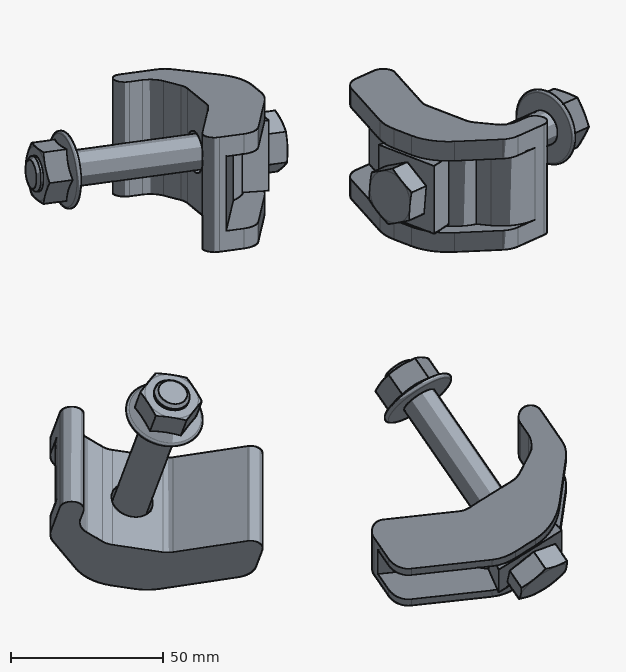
import cadquery as cq
import math


CLAMP_HEIGHT = 40.0
LEFT_FACE = -28.0
RIGHT_FACE = 42.0
BACK_FACE = 21.0
LEG_TIP = -19.2
LEG_THICKNESS = 8.05
SEAT_LEFT = -8.7
SEAT_RIGHT = 12.0
BACK_LEFT = -10.2
BACK_RIGHT = 10.1
INNER_LEFT_SLOPE = math.tan(math.radians(30))
OUTER_LEFT_SLOPE = math.tan(math.radians(49))
RIGHT_SLOPE = math.tan(math.radians(26.7))
TIP_RADIUS = LEG_THICKNESS / 2
INNER_RADIUS = 7.0
BACK_RADIUS = 17.9
SHOULDER_RADIUS = 7.9

RIB_THICKNESS = 7.0
CHANNEL_WIDTH = CLAMP_HEIGHT - 2 * RIB_THICKNESS
HUMP_RADIUS = 17.5
HUMP_TOP = 16.0
HUMP_CENTRE = HUMP_TOP - HUMP_RADIUS
CUT_MARGIN = 8.75

BLOCK_BACK = 21.2
BLOCK_WIDTH = 24.85
BLOCK_HEIGHT = 24.5
BLOCK_TAPER = math.tan(math.radians(10.5))
CLEARANCE_HOLE = 14.0

BOLT_DIAMETER = 12.0
BOLT_BACK = 29.2
BOLT_LENGTH = 87.5
BOLT_END = BOLT_BACK - BOLT_LENGTH
HEAD_THICKNESS = 7.4
HEX_ACROSS_FLATS = 18.0
HEX_ACROSS_CORNERS = HEX_ACROSS_FLATS / math.cos(math.pi / 6)
HEAD_TURN = 95.4
BOLT_CHAMFER = 1.1

NUT_BACK = -45.4
NUT_FRONT = -56.3
FLANGE_DIAMETER = 26.0
FLANGE_EDGE = 1.6
FLANGE_THICKNESS = 2.8
CORNER_CHAMFER_ANGLE = 15

SMALLEST_LENGTH = 0.001


def rounded_outline(corners):
    """Closed XY outline from (x, y, radius) corners; radius 0 keeps a corner sharp."""
    points = [cq.Vector(x, y) for x, y, _ in corners]
    stops = []
    for i, (_, _, radius) in enumerate(corners):
        corner = points[i]
        to_previous = (points[i - 1] - corner).normalized()
        to_next = (points[(i + 1) % len(points)] - corner).normalized()
        half_angle = to_previous.getAngle(to_next) / 2
        setback = radius / math.tan(half_angle)
        bisector = (to_previous + to_next).normalized()
        arc_middle = corner + bisector * (radius / math.sin(half_angle) - radius)
        stops.append((corner + to_previous * setback, arc_middle, corner + to_next * setback, radius))
    position = stops[-1][2]
    outline = cq.Workplane("XY").moveTo(position.x, position.y)
    for start, middle, end, radius in stops:
        if (start - position).Length > SMALLEST_LENGTH:
            outline = outline.lineTo(start.x, start.y)
        if radius > 0:
            outline = outline.threePointArc((middle.x, middle.y), (end.x, end.y))
        position = end
    return outline.close()


def extrude_centred(outline, height):
    return outline.extrude(height).translate((0, 0, -height / 2))


def rod(diameter, y_back, y_front):
    """Cylinder on the bolt axis from y_back down to y_front."""
    return cq.Workplane("XZ", origin=(0, y_back, 0)).circle(diameter / 2).extrude(y_back - y_front)


def hex_prism(y_back, y_front, corner_angle):
    """Hexagon on the bolt axis with one corner at corner_angle from +X."""
    hexagon = cq.Workplane("XZ", origin=(0, y_back, 0)).polygon(6, HEX_ACROSS_CORNERS)
    return hexagon.extrude(y_back - y_front).rotate((0, 0, 0), (0, 1, 0), -corner_angle)


def corner_chamfer(y_end, direction):
    """Cone that trims the hexagon corners at y_end; direction points from y_end into the prism."""
    flat_radius = HEX_ACROSS_FLATS / 2
    reach = HEX_ACROSS_CORNERS
    y_far = y_end + direction * reach
    wide_radius = flat_radius + reach / math.tan(math.radians(CORNER_CHAMFER_ANGLE))
    profile = [(0, y_end), (flat_radius, y_end), (wide_radius, y_far), (0, y_far)]
    return cq.Workplane("XY").polyline(profile).close().revolve(360, (0, 0, 0), (0, 1, 0))


def hump():
    cylinder = cq.Workplane("XY").center(0, HUMP_CENTRE).circle(HUMP_RADIUS)
    return extrude_centred(cylinder, CLAMP_HEIGHT)


def clamp_blank():
    leg_inside = LEFT_FACE + LEG_THICKNESS
    corners = [
        (LEFT_FACE, LEG_TIP, TIP_RADIUS),
        (LEFT_FACE, BACK_FACE - (BACK_LEFT - LEFT_FACE) * OUTER_LEFT_SLOPE, SHOULDER_RADIUS),
        (BACK_LEFT, BACK_FACE, BACK_RADIUS),
        (BACK_RIGHT, BACK_FACE, BACK_RADIUS),
        (RIGHT_FACE, BACK_FACE - (RIGHT_FACE - BACK_RIGHT) * RIGHT_SLOPE, SHOULDER_RADIUS),
        (RIGHT_FACE, -(RIGHT_FACE - SEAT_RIGHT) * RIGHT_SLOPE, TIP_RADIUS),
        (SEAT_RIGHT, 0, INNER_RADIUS),
        (SEAT_LEFT, 0, INNER_RADIUS),
        (leg_inside, -(SEAT_LEFT - leg_inside) * INNER_LEFT_SLOPE, INNER_RADIUS),
        (leg_inside, LEG_TIP, TIP_RADIUS),
    ]
    return extrude_centred(rounded_outline(corners), CLAMP_HEIGHT)


def channel():
    """Space behind a web of leg thickness that follows the inner outline, less the hump."""
    left_rise = LEG_THICKNESS * math.hypot(1, INNER_LEFT_SLOPE)
    right_rise = LEG_THICKNESS * math.hypot(1, RIGHT_SLOPE)
    floor_left = left_rise + (LEFT_FACE - SEAT_LEFT) * INNER_LEFT_SLOPE
    floor_radius = INNER_RADIUS + LEG_THICKNESS
    floor_start = floor_left - floor_radius * math.tan(math.atan2(1, INNER_LEFT_SLOPE) / 2)
    ridge_x = right_rise - left_rise + SEAT_LEFT * INNER_LEFT_SLOPE + SEAT_RIGHT * RIGHT_SLOPE
    ridge_x /= INNER_LEFT_SLOPE + RIGHT_SLOPE
    ridge_y = left_rise + (ridge_x - SEAT_LEFT) * INNER_LEFT_SLOPE
    far_right = RIGHT_FACE + CUT_MARGIN
    far_left = LEFT_FACE - CUT_MARGIN
    far_back = BACK_FACE + CUT_MARGIN
    corners = [
        (far_left, floor_start, 0),
        (LEFT_FACE, floor_start, 0),
        (LEFT_FACE, floor_left, floor_radius),
        (ridge_x, ridge_y, 0),
        (far_right, ridge_y - (far_right - ridge_x) * RIGHT_SLOPE, 0),
        (far_right, far_back, 0),
        (far_left, far_back, 0),
    ]
    return extrude_centred(rounded_outline(corners), CHANNEL_WIDTH).cut(hump())


def clearance_hole():
    return rod(CLEARANCE_HOLE, BACK_FACE + CUT_MARGIN, -CUT_MARGIN)


def make_clamp():
    return clamp_blank().cut(channel()).cut(clearance_hole())


def make_block():
    half_back = BLOCK_WIDTH / 2
    half_front = half_back - BLOCK_BACK * BLOCK_TAPER
    outline = [(-half_back, BLOCK_BACK), (half_back, BLOCK_BACK), (half_front, 0), (-half_front, 0)]
    wedge = extrude_centred(cq.Workplane("XY").polyline(outline).close(), BLOCK_HEIGHT)
    return wedge.cut(hump()).cut(clearance_hole())


def make_bolt():
    head_front = BOLT_BACK - HEAD_THICKNESS
    shank = rod(BOLT_DIAMETER, BOLT_BACK, BOLT_END).faces("<Y").chamfer(BOLT_CHAMFER)
    head = hex_prism(BOLT_BACK, head_front, HEAD_TURN).intersect(corner_chamfer(BOLT_BACK, -1))
    return head.union(shank)


def make_nut():
    rim_radius = FLANGE_EDGE / 2
    rim_centre = FLANGE_DIAMETER / 2 - rim_radius
    rim_front = NUT_BACK - FLANGE_EDGE
    cone_front = NUT_BACK - FLANGE_THICKNESS
    flange = (
        cq.Workplane("XY")
        .moveTo(0, NUT_BACK)
        .lineTo(rim_centre, NUT_BACK)
        .threePointArc((FLANGE_DIAMETER / 2, NUT_BACK - rim_radius), (rim_centre, rim_front))
        .lineTo(HEX_ACROSS_FLATS / 2, cone_front)
        .lineTo(0, cone_front)
        .close()
        .revolve(360, (0, 0, 0), (0, 1, 0))
    )
    hexagon = hex_prism(NUT_BACK, NUT_FRONT, 0).intersect(corner_chamfer(NUT_FRONT, 1))
    return flange.union(hexagon).cut(rod(BOLT_DIAMETER, NUT_BACK, NUT_FRONT))


clamp = make_clamp()
block = make_block()
bolt = make_bolt()
nut = make_nut()
result = cq.Compound.makeCompound([clamp.val(), block.val(), bolt.val(), nut.val()])